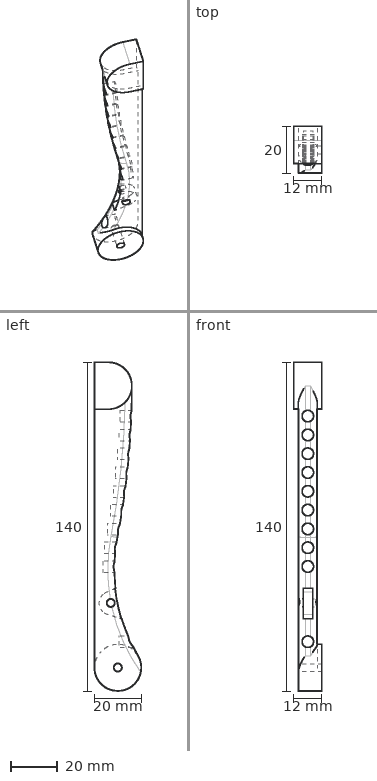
import cadquery as cq
import math

total_length = 140.0
head_width = 12.0
head_flat = 6.0
foot_diameter = 20.0
body_width = 8.0
spine_fillet = 3.0
valley_radius = 72.1
valley_height = 51.8

pocket_diameter = 4.9
pocket_depth = 5.0
lowest_pocket_height = 21.0
highest_pocket_height = 117.0
pocket_pitches = 12
slot_steps = (1, 2, 3)

slot_width = 4.0
slot_floor_radius = 5.0
slot_upper_flare = 22.0
slot_lower_flare = 17.0
slot_reach = 14.0
slot_pin_depth = 7.0
slot_pin_height = 37.5
pin_diameter = 3.4

half_body = body_width / 2
half_head = head_width / 2
foot_radius = foot_diameter / 2
head_radius = foot_diameter / 2
head_depth = head_flat + head_radius
head_center_height = total_length - head_radius
head_bottom = total_length - 2 * head_radius
clear_of_spine = -2 * foot_diameter

valley_rise = valley_height - foot_radius
valley_center = (
    -foot_radius - math.sqrt((valley_radius + foot_radius) ** 2 - valley_rise**2),
    valley_height,
)

arc_gap = -valley_center[0] - head_depth
arc_rise = head_center_height - valley_height
crown_radius = (arc_gap**2 + arc_rise**2 - valley_radius**2) / (2 * (valley_radius - arc_gap))
crown_center = (crown_radius - head_depth, head_center_height)


def toward(start, end, distance):
    """Point at the given distance from start on the line to end."""
    share = distance / math.dist(start, end)
    return tuple(a + (b - a) * share for a, b in zip(start, end))


def valley_point(height):
    """Point of the concave spine arc at the given height."""
    reach = math.sqrt(valley_radius**2 - (height - valley_height) ** 2)
    return (valley_center[0] + reach, height)


def crown_point(height):
    """Point of the convex spine arc at the given height."""
    reach = math.sqrt(crown_radius**2 - (height - head_center_height) ** 2)
    return (crown_center[0] - reach, height)


def across(x):
    """Work plane facing +X at the given x."""
    return cq.Workplane("YZ", origin=(x, 0, 0))


foot_center = (-foot_radius, foot_radius)
foot_tangent = toward(foot_center, valley_center, foot_radius)
arc_joint = toward(valley_center, crown_center, valley_radius)
head_front = (-head_depth, head_center_height)


def make_body():
    """Lever body with a rounded spine, trimmed at the bottom to the round foot."""
    blank = (
        across(-half_body)
        .moveTo(0, 0)
        .lineTo(*valley_point(0))
        .threePointArc(valley_point(arc_joint[1] / 2), arc_joint)
        .threePointArc(crown_point((arc_joint[1] + head_center_height) / 2), head_front)
        .lineTo(0, head_center_height)
        .close()
        .extrude(body_width)
    )
    rounded_blank = blank.edges("%CIRCLE").fillet(spine_fillet)
    trim = (
        across(-half_body)
        .moveTo(0, foot_radius)
        .lineTo(0, head_center_height)
        .lineTo(clear_of_spine, head_center_height)
        .lineTo(clear_of_spine, foot_tangent[1])
        .lineTo(*foot_tangent)
        .threePointArc((-foot_radius, 0), (0, foot_radius))
        .close()
        .extrude(body_width)
    )
    return rounded_blank.intersect(trim)


def make_head():
    """D-shaped block at the top, flat on the back."""
    return (
        across(-half_head)
        .moveTo(0, total_length)
        .lineTo(-head_flat, total_length)
        .threePointArc(head_front, (-head_flat, head_bottom))
        .lineTo(0, head_bottom)
        .close()
        .extrude(head_width)
    )


def make_foot_disc():
    """Round boss that widens the foot on the +X side only."""
    return across(0).center(*foot_center).circle(foot_radius).extrude(half_head)


def spine_at(height):
    """Y of the spine at the given height."""
    point = valley_point(height) if height < arc_joint[1] else crown_point(height)
    return point[0]


def cut_pockets(part):
    """Round blind pockets sunk straight along Y into the spine."""
    pitch = (highest_pocket_height - lowest_pocket_height) / pocket_pitches
    for step in range(pocket_pitches + 1):
        if step in slot_steps:
            continue
        height = lowest_pocket_height + step * pitch
        floor = spine_at(height) + pocket_depth
        pocket = (
            cq.Workplane("XZ", origin=(0, floor, height))
            .circle(pocket_diameter / 2)
            .extrude(foot_diameter)
        )
        part = part.cut(pocket)
    return part


def slot_wall(flare_angle):
    """Where a wall touches the slot floor, and its height from the pin at the slot mouth."""
    flare = math.radians(flare_angle)
    touch_y = slot_floor_radius * math.sin(flare)
    touch_z = slot_floor_radius * math.cos(flare)
    mouth_z = touch_z + (slot_reach + touch_y) * math.tan(flare)
    return touch_y, touch_z, mouth_z


def cut_slot(part):
    """Slot with a round floor around the pin and walls flaring out of the spine."""
    upper_y, upper_z, upper_mouth = slot_wall(slot_upper_flare)
    lower_y, lower_z, lower_mouth = slot_wall(slot_lower_flare)
    slot = (
        across(-slot_width / 2)
        .center(-slot_pin_depth, slot_pin_height)
        .moveTo(-slot_reach, upper_mouth)
        .lineTo(upper_y, upper_z)
        .threePointArc((slot_floor_radius, 0), (lower_y, -lower_z))
        .lineTo(-slot_reach, -lower_mouth)
        .close()
        .extrude(slot_width)
    )
    return part.cut(slot)


def cut_pins(part):
    """Pin holes through the full width, at the slot and at the foot center."""
    pins = (
        across(-half_head)
        .pushPoints([(-slot_pin_depth, slot_pin_height), foot_center])
        .circle(pin_diameter / 2)
        .extrude(head_width)
    )
    return part.cut(pins)


result = make_body().union(make_head()).union(make_foot_disc())
result = cut_pockets(result)
result = cut_slot(result)
result = cut_pins(result)